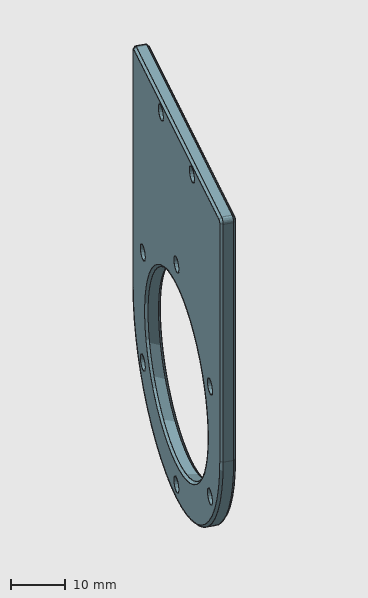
import cadquery as cq

height = 83.5
width = 57.0
thickness = 3.0
edge_chamfer = 0.5
corner_radius = 1.0
end_radius = width / 2
top_z = height - end_radius

bore_diameter = 40.0
ring_diameter = 50.0
ring_hole_count = 6
screw_hole_diameter = 3.2

top_hole_spacing = 20.0
top_hole_inset = 2.5


def plate_with_bore():
    """Plate centred on Y = 0, with outer and bore edges chamfered on both faces."""
    outline = (
        cq.Workplane("XZ", origin=(0, thickness / 2, 0))
        .moveTo(-end_radius, 0)
        .lineTo(-end_radius, top_z)
        .lineTo(end_radius, top_z)
        .lineTo(end_radius, 0)
        .threePointArc((0, -end_radius), (-end_radius, 0))
        .close()
    )
    plate = outline.extrude(thickness)
    plate = plate.edges("|Y and >Z").fillet(corner_radius)
    plate = plate.cut(hole_cutters([(0, 0)], bore_diameter))
    return plate.faces("<Y or >Y").edges().chamfer(edge_chamfer)


def hole_cutters(centres, diameter):
    """Cylinders along Y that pass through the plate at the given X, Z centres."""
    return (
        cq.Workplane("XZ")
        .pushPoints(centres)
        .circle(diameter / 2)
        .extrude(thickness, both=True)
    )


def ring_holes():
    """Evenly spaced screw holes, the first one straight above the bore."""
    return (
        cq.Workplane("XZ")
        .polarArray(ring_diameter / 2, 90, 360, ring_hole_count)
        .circle(screw_hole_diameter / 2)
        .extrude(thickness, both=True)
    )


top_hole_z = top_z - top_hole_inset
top_hole_centres = [(side * top_hole_spacing / 2, top_hole_z) for side in (-1, 1)]

result = (
    plate_with_bore()
    .cut(ring_holes())
    .cut(hole_cutters(top_hole_centres, screw_hole_diameter))
)